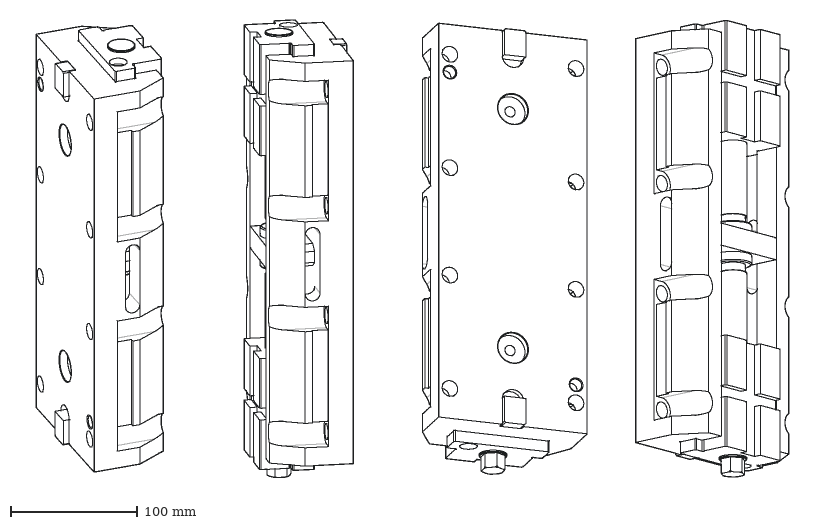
import cadquery as cq
import math


BASE_WIDTH = 125.0
BASE_DEPTH = 65.0
BASE_LENGTH = 330.0
BASE_TOP_WIDTH = 95.0
BASE_SLOPE_ANGLE = 60.0
BASE_EDGE_CHAMFER = 0.5
BASE_SLOPE_WIDTH = (BASE_WIDTH - BASE_TOP_WIDTH) / 2
BASE_SIDE_DEPTH = BASE_DEPTH - BASE_SLOPE_WIDTH * math.tan(math.radians(BASE_SLOPE_ANGLE))
BASE_END = BASE_LENGTH / 2

FLANGE_WIDTH = 80.0
FLANGE_BOTTOM = 27.0
FLANGE_TOP = 44.5
NECK_WIDTH = 65.0

DRILL_POINT_ANGLE = 118.0

SLIDE_RISE = 5.0
SLIDE_TOP = BASE_DEPTH + SLIDE_RISE
SLIDE_OVERHANG = 9.0
SLIDE_LENGTH = 91.0
SLIDE_OUTER_END = BASE_END + SLIDE_OVERHANG
SLIDE_INNER_END = SLIDE_OUTER_END - SLIDE_LENGTH
SLIDE_CHAMFER = 1.0
KEYWAY_WIDTH = 16.0
KEYWAY_DEPTH = 6.0
CROSS_SLOT_WIDTH = 9.5
RELIEF_GROOVE_HEIGHT = 1.8
SCREW_HOLE_X = 25.0
SCREW_HOLE_Y = 35.5
SCREW_HOLE_DIAMETER = 14.0
SCREW_HOLE_DEPTH = 5.0
SOCKET_FLATS = 8.0
SOCKET_DEPTH = 4.0
SOCKET_DRILL_DIAMETER = 6.8

SPINDLE_Y = 48.0
THREAD_DIAMETER = 22.0
RELIEF_DIAMETER = 20.0
RELIEF_END = 23.0
COLLAR_DIAMETER = 30.0
COLLAR_END = 16.5
SPINDLE_OVERHANG = 1.5
SPINDLE_END = SLIDE_OUTER_END + SPINDLE_OVERHANG
SPINDLE_CHAMFER = 0.5
COLLAR_CHAMFER = 1.0
HEX_FLATS = 17.0
HEX_LENGTH = 12.0
HEX_TIP_DIAMETER = 18.0

BLOCK_LENGTH = 18.0
BLOCK_CORNER_LENGTH = 4.5
BLOCK_CORNER_ANGLE = 30.0

KEY_WIDTH = 18.0
KEY_LENGTH = 22.0
KEY_PROJECTION = 5.0
KEY_SEAT_DEPTH = 5.5
KEY_SEAT_LENGTH = 30.0
KEY_CHAMFER = 1.0

BOLT_X = 53.0
BOLT_Z_POSITIONS = (-140.0, -45.0, 45.0, 140.0)
BOLT_HOLE_DIAMETER = 13.0
BOLT_HEAD_DIAMETER = 20.0
BOLT_SEAT_Y = 20.0
SIDE_GROOVE_TOP = 33.0
SIDE_GROOVE_DEPTH = 3.0

DOWEL_Z = 125.0
DOWEL_DIAMETER = 10.0
DOWEL_CHAMFER = 0.75
DOWEL_DEPTH = 12.0

STEP_HOLE_Z = 100.0
STEP_HOLE_DIAMETER = 8.5
STEP_BORE_DIAMETER = 25.0
STEP_BORE_DEPTH = 7.0
STEP_BORE_CHAMFER = 0.5

SIGHT_SLOT_WIDTH = 12.0
SIGHT_SLOT_LENGTH = 60.0


def box(x_range, y_range, z_range):
    """Axis-aligned box between the given limits."""
    size = [high - low for low, high in (x_range, y_range, z_range)]
    corner = cq.Vector(x_range[0], y_range[0], z_range[0])
    return cq.Workplane(cq.Solid.makeBox(*size, corner))


def cylinder_y(diameter, x, z, y_start, y_end):
    """Cylinder along +Y."""
    start = cq.Vector(x, y_start, z)
    return cq.Workplane(cq.Solid.makeCylinder(diameter / 2, y_end - y_start, start, cq.Vector(0, 1, 0)))


def cylinder_z(diameter, x, y, z_start, z_end):
    """Cylinder along +Z."""
    start = cq.Vector(x, y, z_start)
    return cq.Workplane(cq.Solid.makeCylinder(diameter / 2, z_end - z_start, start, cq.Vector(0, 0, 1)))


def cone(base_radius, end_radius, height, base_center, direction):
    """Cone, or truncated cone, that starts at base_center."""
    return cq.Workplane(
        cq.Solid.makeCone(base_radius, end_radius, height, cq.Vector(*base_center), cq.Vector(*direction))
    )


def tee_prism(top, z_start, z_end, chamfer=0):
    """Prism along Z with the T section of the guideway, up to Y = top."""
    z_range = (z_start, z_end)
    flange = box((-FLANGE_WIDTH / 2, FLANGE_WIDTH / 2), (FLANGE_BOTTOM, FLANGE_TOP), z_range)
    neck = box((-NECK_WIDTH / 2, NECK_WIDTH / 2), (FLANGE_BOTTOM, top), z_range)
    if chamfer:
        flange = flange.edges("|Z").chamfer(chamfer)
        neck = neck.faces(">Y").edges("|Z").chamfer(chamfer)
    return flange.union(neck)


def turned_about_y(shape):
    """Copy moved to the other end of the unit."""
    return shape.rotate((0, 0, 0), (0, 1, 0), 180)


def make_key_seat():
    """Round-ended pocket at the upper end of the mounting face."""
    radius = KEY_WIDTH / 2
    arc_z = BASE_END - KEY_SEAT_LENGTH + radius
    straight = box((-radius, radius), (0, KEY_SEAT_DEPTH), (arc_z, BASE_END))
    return straight.union(cylinder_y(KEY_WIDTH, 0, arc_z, 0, KEY_SEAT_DEPTH))


def make_dowel_hole():
    """Blind drilled hole with a chamfered mouth and a conical bottom."""
    radius = DOWEL_DIAMETER / 2
    tip = DOWEL_DEPTH + radius / math.tan(math.radians(DRILL_POINT_ANGLE / 2))
    profile = [
        (0, 0),
        (radius + DOWEL_CHAMFER, 0),
        (radius, DOWEL_CHAMFER),
        (radius, DOWEL_DEPTH),
        (0, tip),
    ]
    hole = cq.Workplane("XY").polyline(profile).close().revolve(360, (0, 0), (0, 1))
    return hole.translate((-BOLT_X, 0, DOWEL_Z))


def make_stepped_hole(z):
    bore = cylinder_y(STEP_BORE_DIAMETER, 0, z, 0, STEP_BORE_DEPTH)
    bore_radius = STEP_BORE_DIAMETER / 2
    mouth = cone(bore_radius + STEP_BORE_CHAMFER, bore_radius, STEP_BORE_CHAMFER, (0, 0, z), (0, 1, 0))
    return bore.union(mouth).union(cylinder_y(STEP_HOLE_DIAMETER, 0, z, 0, FLANGE_BOTTOM))


def make_bolt_hole(x, z):
    """Through hole with a head pocket that is open to the sloped side."""
    hole = cylinder_y(BOLT_HOLE_DIAMETER, x, z, 0, BASE_DEPTH)
    head = cylinder_y(BOLT_HEAD_DIAMETER, x, z, BOLT_SEAT_Y, BASE_DEPTH)
    outer_x = math.copysign(BASE_WIDTH / 2, x)
    radius = BOLT_HEAD_DIAMETER / 2
    mouth = box(sorted((x, outer_x)), (BOLT_SEAT_Y, BASE_DEPTH), (z - radius, z + radius))
    return hole.union(head).union(mouth)


def make_side_groove(side, z_start, z_end):
    """Groove in one side wall between two neighbouring head pockets."""
    outer_x = side * BASE_WIDTH / 2
    inner_x = outer_x - side * SIDE_GROOVE_DEPTH
    return box(sorted((inner_x, outer_x)), (BOLT_SEAT_Y, SIDE_GROOVE_TOP), (z_start, z_end))


def make_base():
    half_width = BASE_WIDTH / 2
    half_top = BASE_TOP_WIDTH / 2
    outline = [
        (-half_width, 0),
        (half_width, 0),
        (half_width, BASE_SIDE_DEPTH),
        (half_top, BASE_DEPTH),
        (-half_top, BASE_DEPTH),
        (-half_width, BASE_SIDE_DEPTH),
    ]
    body = cq.Workplane("XY").polyline(outline).close().extrude(BASE_LENGTH / 2, both=True)
    body = body.faces("<Y").edges("|Z").chamfer(BASE_EDGE_CHAMFER)
    body = body.cut(tee_prism(BASE_DEPTH, -BASE_END, BASE_END))

    for side in (-1, 1):
        for z in BOLT_Z_POSITIONS:
            body = body.cut(make_bolt_hole(side * BOLT_X, z))
        for z_start, z_end in (BOLT_Z_POSITIONS[:2], BOLT_Z_POSITIONS[2:]):
            body = body.cut(make_side_groove(side, z_start, z_end))
        body = body.cut(make_stepped_hole(side * STEP_HOLE_Z))

    for end_feature in (make_key_seat(), make_dowel_hole()):
        body = body.cut(end_feature).cut(turned_about_y(end_feature))

    sight_slot = (
        cq.Workplane("YZ")
        .center(FLANGE_BOTTOM + SIGHT_SLOT_WIDTH / 2, 0)
        .slot2D(SIGHT_SLOT_LENGTH, SIGHT_SLOT_WIDTH, 90)
        .extrude(half_width, both=True)
    )
    return body.cut(sight_slot)


def make_relief_groove(side):
    """V-groove along the foot of the slide neck, with flanks at right angles."""
    wall_x = side * NECK_WIDTH / 2
    half_height = RELIEF_GROOVE_HEIGHT / 2
    profile = [
        (wall_x, FLANGE_TOP),
        (wall_x - side * half_height, FLANGE_TOP + half_height),
        (wall_x, FLANGE_TOP + RELIEF_GROOVE_HEIGHT),
    ]
    start = cq.Workplane("XY", origin=(0, 0, SLIDE_INNER_END))
    return start.polyline(profile).close().extrude(SLIDE_LENGTH)


def make_slide():
    """Slide at the upper end, with crossed keyways in its top face."""
    body = tee_prism(SLIDE_TOP, SLIDE_INNER_END, SLIDE_OUTER_END, SLIDE_CHAMFER)
    slide_center = (SLIDE_INNER_END + SLIDE_OUTER_END) / 2
    half_neck = NECK_WIDTH / 2
    half_slot = CROSS_SLOT_WIDTH / 2
    half_keyway = KEYWAY_WIDTH / 2
    floor_to_top = (SLIDE_TOP - KEYWAY_DEPTH, SLIDE_TOP)

    lengthwise = box((-half_keyway, half_keyway), floor_to_top, (SLIDE_INNER_END, SLIDE_OUTER_END))
    slot_z = (slide_center - half_slot, slide_center + half_slot)
    crosswise = box((-half_neck, half_neck), floor_to_top, slot_z)
    body = body.cut(lengthwise).cut(crosswise)

    screw_floor_z = SLIDE_OUTER_END - SCREW_HOLE_DEPTH
    screw_hole = cylinder_z(SCREW_HOLE_DIAMETER, SCREW_HOLE_X, SCREW_HOLE_Y, screw_floor_z, SLIDE_OUTER_END)
    socket = (
        cq.Workplane("XY", origin=(SCREW_HOLE_X, SCREW_HOLE_Y, screw_floor_z))
        .polygon(6, SOCKET_FLATS / math.cos(math.pi / 6))
        .extrude(-SOCKET_DEPTH)
    )
    point_radius = SOCKET_DRILL_DIAMETER / 2
    point_height = point_radius / math.tan(math.radians(DRILL_POINT_ANGLE / 2))
    socket_floor = (SCREW_HOLE_X, SCREW_HOLE_Y, screw_floor_z - SOCKET_DEPTH)
    drill_point = cone(point_radius, 0, point_height, socket_floor, (0, 0, -1))
    socket = socket.union(drill_point)
    spindle_bore = cylinder_z(THREAD_DIAMETER, 0, SPINDLE_Y, SLIDE_INNER_END, SLIDE_OUTER_END)
    body = body.cut(screw_hole).cut(socket).cut(spindle_bore)
    return body.cut(make_relief_groove(-1)).cut(make_relief_groove(1))


def make_spindle():
    """Spindle with two collars at mid-length and a hexagonal drive at the lower end."""
    threaded = cylinder_z(THREAD_DIAMETER, 0, SPINDLE_Y, RELIEF_END, SPINDLE_END)
    threaded = threaded.faces(">Z").chamfer(SPINDLE_CHAMFER)
    collar = cylinder_z(COLLAR_DIAMETER, 0, SPINDLE_Y, BLOCK_LENGTH / 2, COLLAR_END)
    collar = collar.faces(">Z").chamfer(COLLAR_CHAMFER)
    body = cylinder_z(RELIEF_DIAMETER, 0, SPINDLE_Y, -RELIEF_END, RELIEF_END)
    for half in (threaded, collar):
        body = body.union(half).union(turned_about_y(half))

    corner_diameter = HEX_FLATS / math.cos(math.pi / 6)
    drive = (
        cq.Workplane("XY", origin=(0, SPINDLE_Y, -SPINDLE_END))
        .transformed(rotate=(0, 0, 90))
        .polygon(6, corner_diameter)
        .extrude(-HEX_LENGTH)
    )
    tip_radius = HEX_TIP_DIAMETER / 2
    tip_center = (0, SPINDLE_Y, -SPINDLE_END - HEX_LENGTH)
    tip_cone = cone(tip_radius, tip_radius + HEX_LENGTH, HEX_LENGTH, tip_center, (0, 0, 1))
    return body.union(drive.intersect(tip_cone))


def make_bearing_block():
    """Block that holds the spindle between its two collars."""
    half_length = BLOCK_LENGTH / 2
    body = tee_prism(BASE_DEPTH, -half_length, half_length)
    half_flange = FLANGE_WIDTH / 2
    corner_width = BLOCK_CORNER_LENGTH / math.tan(math.radians(BLOCK_CORNER_ANGLE))
    flat_z = half_length - BLOCK_CORNER_LENGTH
    flat_x = half_flange - corner_width
    plan = [
        (flat_z, half_flange),
        (half_length, flat_x),
        (half_length, -flat_x),
        (flat_z, -half_flange),
        (-flat_z, -half_flange),
        (-half_length, -flat_x),
        (-half_length, flat_x),
        (-flat_z, half_flange),
    ]
    body = body.intersect(cq.Workplane("ZX").polyline(plan).close().extrude(BASE_DEPTH))
    return body.cut(cylinder_z(RELIEF_DIAMETER, 0, SPINDLE_Y, -half_length, half_length))


def make_key():
    half_width = KEY_WIDTH / 2
    key_z = (BASE_END - KEY_LENGTH, BASE_END)
    body = box((-half_width, half_width), (-KEY_PROJECTION, KEY_SEAT_DEPTH), key_z)
    return body.faces(">Z").edges("|Y").chamfer(KEY_CHAMFER)


base = make_base()
upper_slide = make_slide()
slides = [upper_slide, turned_about_y(upper_slide)]
spindle = make_spindle()
bearing_block = make_bearing_block()
upper_key = make_key()
keys = [upper_key, turned_about_y(upper_key)]

result = cq.Compound.makeCompound(
    [body.val() for body in (base, *slides, spindle, bearing_block, *keys)]
)